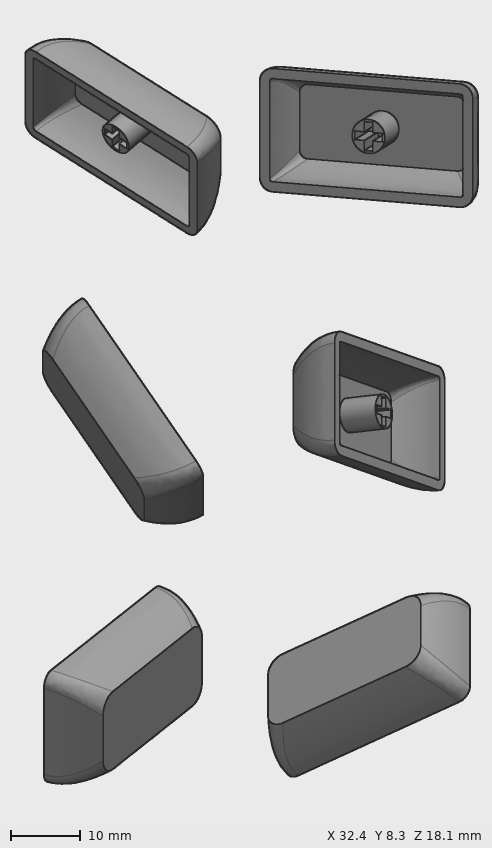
import cadquery as cq

cap_length = 32.4
cap_height = 18.1
cap_depth = 8.3
wall = 1.5

outer_inset = 2.7
outer_rim_radius = 1.98
outer_back_radius = 2.7

cavity_depth = cap_depth - wall
cavity_inset = 2.1
cavity_rim_radius = 0.5
cavity_floor_radius = 1.23

stem_diameter = 5.0
stem_recess = 0.97
stem_length = cavity_depth - stem_recess
cross_span = 4.2
cross_width = 1.25

rim_plane = cq.Plane(origin=(0, 0, 0), xDir=(1, 0, 0), normal=(0, 1, 0))
stem_plane = cq.Plane(origin=(0, stem_recess, 0), xDir=(1, 0, 0), normal=(0, 1, 0))


def curved_block(length, height, depth, inset, rim_radius, back_radius):
    """Rounded block lofted from the rim, its side inset growing with the square of the depth."""
    outlines = []
    for fraction in (0.0, 0.5, 1.0):
        growth = fraction**2
        side_inset = inset * growth
        radius = rim_radius + (back_radius - rim_radius) * growth
        outline = (
            cq.Sketch()
            .rect(length - 2 * side_inset, height - 2 * side_inset)
            .vertices()
            .fillet(radius)
        )
        outlines.append(outline.moved(cq.Location(cq.Vector(0, 0, depth * fraction))))
    return cq.Workplane(rim_plane).placeSketch(*outlines).loft()


def make_cap():
    shell = curved_block(
        cap_length, cap_height, cap_depth, outer_inset, outer_rim_radius, outer_back_radius
    )
    cavity = curved_block(
        cap_length - 2 * wall,
        cap_height - 2 * wall,
        cavity_depth,
        cavity_inset,
        cavity_rim_radius,
        cavity_floor_radius,
    )
    return shell.cut(cavity)


def make_stem():
    post = cq.Workplane(stem_plane).circle(stem_diameter / 2).extrude(stem_length)
    for arm_x, arm_z in ((cross_span, cross_width), (cross_width, cross_span)):
        arm = cq.Workplane(stem_plane).rect(arm_x, arm_z).extrude(stem_length)
        post = post.cut(arm)
    return post


cap = make_cap()
stem = make_stem()

result = cq.Compound.makeCompound([cap.val(), stem.val()])